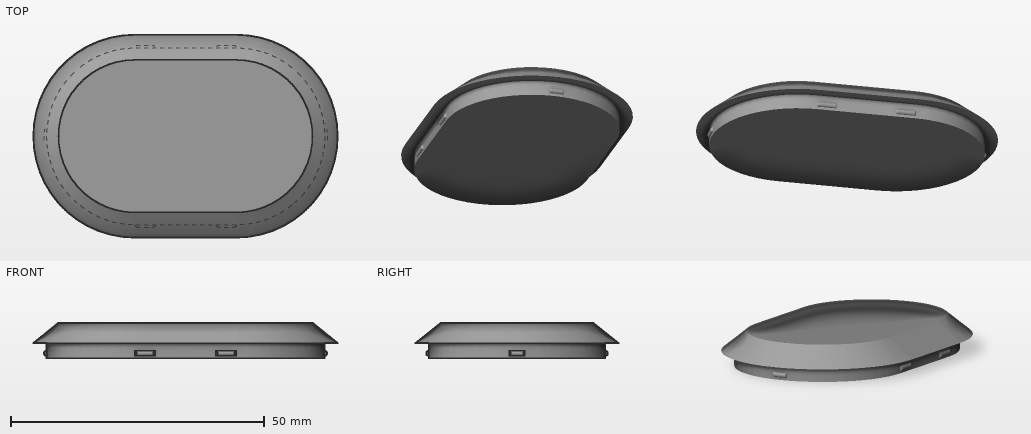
import cadquery as cq
import math

length = 60.0
width = length * 2 / 3
straight = length - width
cap_height = 4.0
cap_inset = 5.0
plug_height = 3.0
plug_inset = 2.6
plug_radius = width / 2 - plug_inset

bead_radius = 0.5
bead_z = 1.0
side_bead_length = 4.0
end_bead_length = 3.05


def stadium(base_z, inset):
    """Stadium outline set in from the rim by the given amount."""
    outline_width = width - 2 * inset
    return cq.Workplane("XY", origin=(0, 0, base_z)).slot2D(straight + outline_width, outline_width)


def bead_envelope(center_x, bead_length):
    """Block across the -Y wall whose outer end corners are rounded by the bead radius."""
    half = bead_length / 2
    crest_half = half - bead_radius
    corner_mid = bead_radius * math.sqrt(0.5)
    return (
        cq.Workplane("XY", origin=(center_x, -plug_radius, bead_z - bead_radius))
        .moveTo(-half, bead_radius)
        .lineTo(half, bead_radius)
        .lineTo(half, 0)
        .threePointArc((crest_half + corner_mid, -corner_mid), (crest_half, -bead_radius))
        .lineTo(-crest_half, -bead_radius)
        .threePointArc((-crest_half - corner_mid, -corner_mid), (-half, 0))
        .close()
        .extrude(2 * bead_radius)
    )


def side_bead(center_x):
    """Straight bead half sunk in the -Y wall."""
    rod = (
        cq.Workplane("YZ", origin=(-straight / 2, 0, 0))
        .center(-plug_radius, bead_z)
        .circle(bead_radius)
        .extrude(straight)
    )
    return rod.intersect(bead_envelope(center_x, side_bead_length))


def end_bead():
    """Curved bead half sunk in the round -X end wall."""
    ring = cq.Workplane("XY").add(
        cq.Solid.makeTorus(plug_radius, bead_radius, cq.Vector(0, 0, bead_z), cq.Vector(0, 0, 1))
    )
    bead = ring.intersect(bead_envelope(0, end_bead_length))
    return bead.rotate((0, 0, 0), (0, 0, 1), -90).translate((-straight / 2, 0, 0))


plug = stadium(0, plug_inset).extrude(plug_height)
cap = stadium(plug_height, 0).workplane(offset=cap_height)
cap_outline_width = width - 2 * cap_inset
cap = cap.slot2D(straight + cap_outline_width, cap_outline_width).loft(ruled=True)
result = plug.union(cap)

side_bead_x = (straight - side_bead_length) / 2
for x in (-side_bead_x, side_bead_x):
    bead = side_bead(x)
    result = result.union(bead).union(bead.mirror("XZ"))

bead = end_bead()
result = result.union(bead).union(bead.mirror("YZ"))